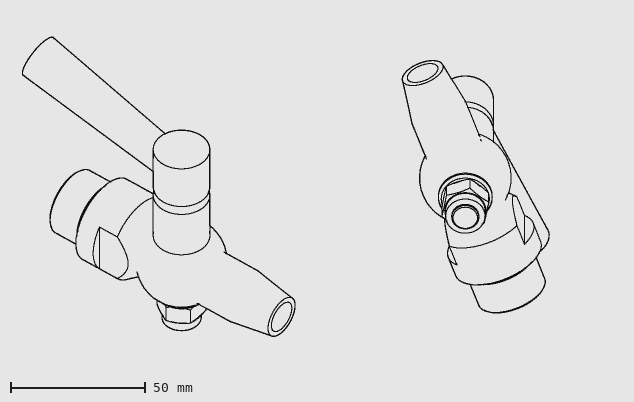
import cadquery as cq
import math


ball_diameter = 34.0
ball_radius = ball_diameter / 2
bore_diameter = 12.0

inlet_x = -52.6
thread_diameter = 26.5
thread_chamfer = 0.7
relief_x = -39.2
relief_diameter = 25.4
collar_x = -36.6
collar_diameter = ball_diameter
flat_x = -28.4
flat_spacing = 26.6
collar_cone_x = -19.8
neck_x = -13.0
neck_diameter = 24.1
ball_fillet = 1.2

spout_diameter = 21.5
taper_x = 29.5
taper_rounding = 4.7
spout_tip_x = 47.6
spout_tip_diameter = 16.1

tower_diameter = 21.0
tower_radius = tower_diameter / 2
plug_bottom_diameter = 20.0
plug_bottom_z = -15.6
plug_bottom_chamfer = 1.1
tower_base_z = math.sqrt(ball_radius**2 - tower_radius**2)
groove_bottom_z = 33.9
groove_top_z = 37.9
groove_depth = 0.5
tower_top_z = 57.1
tower_dome_height = 2.5
stud_diameter = 10.0
stud_bottom_z = -29.5
stud_chamfer = 0.5

handle_tilt = 14.8
handle_axis_z = 46.2
handle_length = 70.5
handle_root_diameter = 13.0
handle_end_diameter = 18.0
handle_dome_height = 1.2

nut_flats = 16.0
nut_corners = nut_flats / math.cos(math.radians(30))
nut_top_z = plug_bottom_z
nut_hex_bottom_z = -24.1
nut_bottom_z = -28.2
nut_collar_diameter = 14.6
nut_edge_diameter = 15.2
nut_bevel = 1.0


def make_plug_core():
    """Tapered shaft that seats in the ball, running up into the domed tower, plus the stud."""
    bottom_radius = plug_bottom_diameter / 2
    stud_radius = stud_diameter / 2
    groove_mid_z = (groove_bottom_z + groove_top_z) / 2
    apex_z = tower_top_z + tower_dome_height
    dome_radius = (tower_radius**2 + tower_dome_height**2) / (2 * tower_dome_height)
    dome_mid_x = tower_radius / 2
    dome_mid_z = apex_z - dome_radius + math.sqrt(dome_radius**2 - dome_mid_x**2)
    return (
        cq.Workplane("XZ")
        .moveTo(0, stud_bottom_z)
        .lineTo(stud_radius - stud_chamfer, stud_bottom_z)
        .lineTo(stud_radius, stud_bottom_z + stud_chamfer)
        .lineTo(stud_radius, plug_bottom_z)
        .lineTo(bottom_radius - plug_bottom_chamfer, plug_bottom_z)
        .lineTo(bottom_radius, plug_bottom_z + plug_bottom_chamfer)
        .lineTo(tower_radius, tower_base_z)
        .lineTo(tower_radius, groove_bottom_z)
        .threePointArc((tower_radius - groove_depth, groove_mid_z), (tower_radius, groove_top_z))
        .lineTo(tower_radius, tower_top_z)
        .threePointArc((dome_mid_x, dome_mid_z), (0, apex_z))
        .close()
        .revolve(360, (0, 0), (0, 1))
    )


def make_handle():
    """Conical lever with a domed end, rising towards -X from the tower axis."""
    end_radius = handle_end_diameter / 2
    apex = handle_length + handle_dome_height
    dome_radius = (end_radius**2 + handle_dome_height**2) / (2 * handle_dome_height)
    dome_mid = end_radius / 2
    dome_mid_length = apex - dome_radius + math.sqrt(dome_radius**2 - dome_mid**2)
    return (
        cq.Workplane("XZ")
        .lineTo(handle_root_diameter / 2, 0)
        .lineTo(end_radius, handle_length)
        .threePointArc((dome_mid, dome_mid_length), (0, apex))
        .close()
        .revolve(360, (0, 0), (0, 1))
        .rotate((0, 0, 0), (0, 1, 0), handle_tilt - 90)
        .translate((0, 0, handle_axis_z))
    )


def ring_selector(x, diameter):
    """Selects the circular edge around the pipe axis that lies near the given x."""
    tolerance = 0.3
    return cq.selectors.BoxSelector(
        (x - tolerance, -diameter, -diameter),
        (x + tolerance, diameter, diameter),
        boundingbox=True,
    )


def make_pipe():
    """Turned outline of both pipe ends, closed through the middle of the ball."""
    thread_radius = thread_diameter / 2
    relief_radius = relief_diameter / 2
    collar_radius = collar_diameter / 2
    neck_radius = neck_diameter / 2
    spout_radius = spout_diameter / 2
    cone_slope = (collar_radius - neck_radius) / (neck_x - collar_cone_x)
    cone_end_x = neck_x + ball_fillet
    cone_end_radius = neck_radius - cone_slope * ball_fillet
    taper_edge = ring_selector(taper_x, spout_diameter)
    return (
        cq.Workplane("XY")
        .moveTo(inlet_x, 0)
        .lineTo(inlet_x, thread_radius - thread_chamfer)
        .lineTo(inlet_x + thread_chamfer, thread_radius)
        .lineTo(relief_x, thread_radius)
        .lineTo(relief_x, relief_radius)
        .lineTo(collar_x, relief_radius)
        .lineTo(collar_x, collar_radius)
        .lineTo(collar_cone_x, collar_radius)
        .lineTo(cone_end_x, cone_end_radius)
        .lineTo(cone_end_x, spout_radius)
        .lineTo(taper_x, spout_radius)
        .lineTo(spout_tip_x, spout_tip_diameter / 2)
        .lineTo(spout_tip_x, 0)
        .close()
        .revolve(360, (0, 0), (1, 0))
        .edges(taper_edge)
        .fillet(taper_rounding)
    )


def cut_collar_flats(shape):
    """Two wrench flats on the -Y and +Y sides of the collar, open towards the ball."""
    length = neck_x - flat_x
    depth = collar_diameter
    for side in (-1, 1):
        cutter = cq.Workplane("XY").box(length, depth, collar_diameter).translate(
            (flat_x + length / 2, side * (flat_spacing + depth) / 2, 0)
        )
        shape = shape.cut(cutter)
    return shape


def make_ball():
    """Ball truncated where its surface meets the plug, below and above."""
    bottom_z = -math.sqrt(ball_radius**2 - (plug_bottom_diameter / 2) ** 2)
    height = tower_base_z - bottom_z
    slab = cq.Workplane("XY", origin=(0, 0, bottom_z)).rect(ball_diameter, ball_diameter).extrude(height)
    return cq.Workplane("XY").sphere(ball_radius).intersect(slab)


def make_valve_body(plug):
    spout_root_x = math.sqrt(ball_radius**2 - (spout_diameter / 2) ** 2)
    neck_root_x = neck_x + ball_fillet / 2
    outside = make_pipe().union(make_ball())
    for root_x in (neck_root_x, spout_root_x):
        outside = outside.edges(ring_selector(root_x, ball_diameter)).fillet(ball_fillet)
    bore = (
        cq.Workplane("YZ", origin=(inlet_x, 0, 0))
        .circle(bore_diameter / 2)
        .extrude(spout_tip_x - inlet_x)
    )
    return cut_collar_flats(outside).cut(bore).cut(plug)


def make_nut():
    """Hexagon with bevelled corners and a round collar below, bored for the stud."""
    hex_height = nut_top_z - nut_hex_bottom_z
    hexagon = (
        cq.Workplane("XY", origin=(0, 0, nut_hex_bottom_z))
        .transformed(rotate=(0, 0, 90))
        .polygon(6, nut_corners)
        .extrude(hex_height)
    )
    envelope = (
        cq.Workplane("XY", origin=(0, 0, nut_hex_bottom_z))
        .circle(nut_corners / 2)
        .extrude(hex_height)
        .faces("<Z or >Z")
        .chamfer(nut_bevel, (nut_corners - nut_edge_diameter) / 2)
    )
    collar = (
        cq.Workplane("XY", origin=(0, 0, nut_bottom_z))
        .circle(nut_collar_diameter / 2)
        .extrude(nut_hex_bottom_z - nut_bottom_z)
    )
    stud_hole = (
        cq.Workplane("XY", origin=(0, 0, nut_bottom_z))
        .circle(stud_diameter / 2)
        .extrude(nut_top_z - nut_bottom_z)
    )
    return hexagon.intersect(envelope).union(collar).cut(stud_hole)


plug = make_plug_core().union(make_handle())
valve_body = make_valve_body(plug)
nut = make_nut()

result = cq.Compound.makeCompound([valve_body.val(), plug.val(), nut.val()])